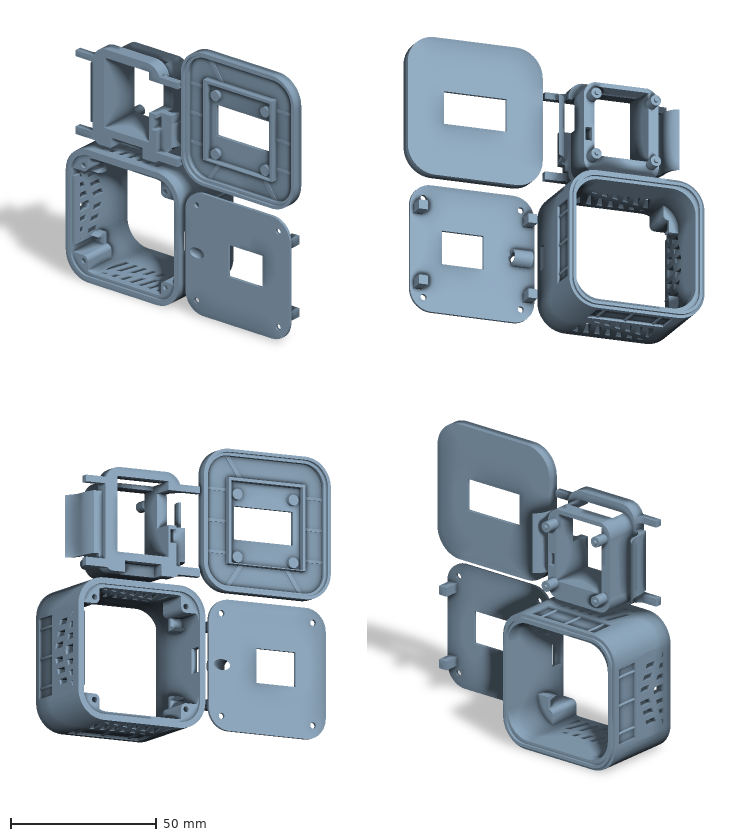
import cadquery as cq
import math


case_size = 50.0
case_radius = 10.0
lip_step = 1.1
bed_y = 1.0
screw_spacing = 36.0
module_peg_spacing = 22.0

housing_depth = 30.0
wall = 3.25
cover_recess_inset = wall - lip_step
inner_radius = case_radius - lip_step
post_depth_end = 14.0
post_reach = 8.9
post_overlap = 0.25
post_radius = 1.85
screw_pilot_diameter = 2.0
screw_pilot_depth = 8.0

clip_patch_y = 8.8
clip_back_y = 12.5
clip_ridge_y = 11.8
clip_nose_y = 9.4
clip_nose_z = (12.15, 12.94)
clip_outer_z = case_size / 2 - post_reach - post_overlap
clip_inner_z = 11.5
clip_inner_x = 18.2

grip_y = (18.8, 28.0)
grip_length = 28.1
grip_depth = 1.0
grip_rib_radius = 0.6
grip_rib_pitch = 10.4

vent_slope = math.tan(math.radians(20))
vent_half_pitch = 1.97
vent_middle_half = 1.55
vent_front_y = 3.8
vent_gap_y = (9.14, 12.0)
vent_back_y = 17.0
vent_half_length = 13.4

slot_lean = math.tan(math.radians(15))
slot_pitch = 4.0
slot_width = 2.0
slot_y = (3.7, 16.3)
slot_gap_y = (8.84, 11.7)
slots_per_row = 7
bottom_slot_starts = (-13.5, -16.1)
top_slot_starts = (-14.4, -15.1)

port_y = (3.05, 5.9)
port_pocket_y = 1.1
port_pocket_x = 24.0
port_height = 8.8

lid_x = 49.98
lid_z = 49.95
lid_depth = 4.0
lid_floor = 1.2
lid_back_y = bed_y + lid_depth
lid_floor_y = lid_back_y - lid_floor
sensor_frame_size = 30.3
sensor_frame_wall = 1.06
sensor_frame_bottom_wall = 0.3
sensor_frame_setback = 0.1
sensor_window = (23.2, 11.8)
sensor_window_z = -0.15
lid_peg_diameter = 3.82
lid_peg_length = 1.6
lid_peg_centre_z = -1.35
lid_rib_width = 1.06
lid_rib_height = 0.3
lid_rib_pitch = 11.0
diagonal_rib_width = 1.5
diagonal_rib_angle = 34.0
diagonal_rib_x = 11.8
diagonal_rib_z = 19.0

plate_size = 46.0
plate_thickness = 1.1
plate_z = -1.03
plate_screw_diameter = 2.2
plate_window = (15.4, 12.15)
plate_window_offset = (3.45, 0.92)
stud_size = 3.3
stud_spacing = (40.6, 27.3)
stud_end_y = 7.8
hood_offsets = (-21.0, -14.1)
hood_top_y = 6.4
hood_radius = 3.0
cable_bore_diameter = 3.81
cable_bore_offset = -17.85
cable_bore_tilt = 37.0

frame_x = 1.03
flange_half_width = 14.9
flange_z = (27.9, 64.5)
flange_back_y = 6.0
flange_top_radius = 5.8
flange_bottom_radius = 3.2
box_half_width = 13.85
box_z = (28.0, 61.3)
box_back_y = 18.0
box_corner_width = 3.95
box_corner_height = 6.0
opening_half_width = 10.0
opening_z = (34.75, 59.75)
top_slot_end_y = 12.0
notch_half_width = 7.15
notch_top_z = 31.9

tab_half_span = 22.5
tab_back_y = 3.5
tab_heights = ((28.95, 31.85), (58.25, 60.6))
tab_fillet = 2.0

wing_z = (34.0, 56.0)
wing_root_z = 31.85
wing_root_half_width = 17.95
left_foot_width = 1.1
right_foot_x = (13.0, 16.0)
side_gap_z = (46.0, 58.25)
side_gap_low_z = 42.8
right_stile_half_width = 13.1
side_wall_front_y = 9.0
side_hole_x = (11.9, 14.4)
side_hole_z = (39.9, 44.6)

frame_peg_diameter = 3.8
frame_peg_end_y = 22.6
frame_tip_diameter = 1.6
frame_tip_end_y = 23.6
frame_peg_z = 44.8


def block(x, y, z):
    """Box between the given (low, high) pairs."""
    return (
        cq.Workplane("XY")
        .box(x[1] - x[0], y[1] - y[0], z[1] - z[0], centered=False)
        .translate((x[0], y[0], z[0]))
    )


def rod(x, z, diameter, y_from, y_to):
    """Cylinder along Y."""
    centre = cq.Vector(x, y_from, z)
    return cq.Workplane(cq.Solid.makeCylinder(diameter / 2, y_to - y_from, centre, cq.Vector(0, 1, 0)))


def rounded_square(size, radius, y_from, y_to):
    """Square slab with rounded corners, its thickness along Y."""
    slab = block((-size / 2, size / 2), (y_from, y_to), (-size / 2, size / 2))
    return slab.edges("|Y").fillet(radius)


def inset_square(inset, y_from, y_to):
    """Slab that follows the case outline, moved inwards by the inset."""
    return rounded_square(case_size - 2 * inset, case_radius - inset, y_from, y_to)


def corners(x_spacing, z_spacing):
    """Four (x, z) places of a centred rectangle."""
    return [(sx * x_spacing / 2, sz * z_spacing / 2) for sx in (-1, 1) for sz in (-1, 1)]


def to_side(body, side_x, side_z):
    """Mirror a feature from the right upper corner to the given sides."""
    if side_x < 0:
        body = body.mirror("YZ")
    if side_z < 0:
        body = body.mirror("XY")
    return body


def corner_post(side_x, side_z):
    """Screw post in a housing corner, rounded at its free edge."""
    free = case_size / 2 - post_reach
    outer = case_size / 2 - cover_recess_inset / 2
    post = block((free, outer), (lip_step, post_depth_end), (free - post_overlap, outer))
    post = post.edges("|Y and <X and <Z").fillet(post_radius)
    return to_side(post, side_x, side_z)


def clip(side_x, side_z):
    """Hooked catch on a side wall that snaps over an end of the inner frame."""
    profile = [
        (post_depth_end, clip_inner_z),
        (clip_ridge_y, clip_inner_z),
        (clip_nose_y, clip_nose_z[0]),
        (clip_back_y, clip_nose_z[1]),
        (clip_back_y, clip_outer_z),
        (post_depth_end, clip_outer_z),
    ]
    reach = case_size / 2 - clip_inner_x
    catch = cq.Workplane("YZ", origin=(clip_inner_x, 0, 0)).polyline(profile).close().extrude(reach)
    patch_x = (case_size / 2 - cover_recess_inset, case_size / 2)
    catch = catch.union(block(patch_x, (clip_patch_y, post_depth_end), (clip_inner_z, clip_outer_z)))
    return to_side(catch, side_x, side_z)


def grip_panel():
    """Tool for the ribbed grip recess in the left side wall."""
    half = grip_length / 2
    panel = block((-case_size / 2, -case_size / 2 + grip_depth), grip_y, (-half, half))
    for place in (-1, 0, 1):
        rib = rod(-case_size / 2 + grip_depth, place * grip_rib_pitch, 2 * grip_rib_radius, *grip_y)
        panel = panel.cut(rib)
    return panel


def vent_band(y_front, y_back):
    """V-shaped band through the left wall, its tip pointing to the back."""
    h = vent_half_length
    drop = vent_slope * h
    outline = [
        (y_back, 0),
        (y_back - drop, h),
        (y_front - drop, h),
        (y_front, 0),
        (y_front - drop, -h),
        (y_back - drop, -h),
    ]
    return cq.Workplane("YZ", origin=(-case_size / 2, 0, 0)).polyline(outline).close().extrude(wall)


def vents():
    """Tool for both staggered rows of ventilation slots in the left wall."""
    through_x = (-case_size / 2, -case_size / 2 + wall)
    edges = [vent_middle_half + i * vent_half_pitch for i in range(7)]
    back_rows = [(edges[i], edges[i + 1]) for i in (0, 2, 4)]
    front_rows = [(edges[i], edges[i + 1]) for i in (1, 3, 5)]
    back_rows += [(-high, -low) for low, high in back_rows]
    front_rows += [(-high, -low) for low, high in front_rows]
    front_rows.append((-vent_middle_half, vent_middle_half))
    back_band = vent_band(vent_gap_y[1], vent_back_y)
    front_band = vent_band(-vent_front_y, vent_gap_y[0])
    tool = cq.Workplane("XY")
    for row in back_rows:
        tool = tool.add(back_band.intersect(block(through_x, (0, housing_depth), row)))
    for row in front_rows:
        tool = tool.add(front_band.intersect(block(through_x, (vent_front_y, housing_depth), row)))
    return tool


def leaning_slots(start, band):
    """Row of leaning slots through the bottom wall, trimmed to a band outline."""
    floor = cq.Workplane("XY", origin=(0, 0, -case_size / 2))
    trim = floor.polyline(band).close().extrude(wall)
    slots = cq.Workplane("XY")
    y_low, y_high = slot_y
    for i in range(slots_per_row):
        x_low = start + i * slot_pitch + slot_lean * y_low
        x_high = start + i * slot_pitch + slot_lean * y_high
        outline = [(x_low, y_low), (x_low + slot_width, y_low), (x_high + slot_width, y_high), (x_high, y_high)]
        slots = slots.add(floor.polyline(outline).close().extrude(wall).intersect(trim))
    return slots


def slanted_vents(front_start, back_start):
    """Tool for the slots on both sides of a slanted bar in the bottom wall."""
    h = vent_half_length
    rise = vent_slope * h
    y_low, y_high = slot_y
    front_edge, back_edge = slot_gap_y
    low_cross = (y_low - front_edge) / vent_slope
    high_cross = (y_high - back_edge) / vent_slope
    front_band = [(low_cross, y_low), (h, y_low), (h, front_edge + rise)]
    back_band = [(-h, back_edge - rise), (high_cross, y_high), (-h, y_high)]
    tool = leaning_slots(front_start, front_band)
    for slot in leaning_slots(back_start, back_band).vals():
        tool = tool.add(slot)
    return tool


def cut_all(body, tools):
    """Cut every solid of a tool from the body."""
    for solid in tools.solids().vals():
        body = body.cut(cq.Workplane(solid))
    return body


def make_housing():
    back_y = housing_depth + lip_step
    body = inset_square(0, 0, housing_depth).union(inset_square(lip_step, housing_depth, back_y))

    inner_half = case_size / 2 - wall
    thin_wall_x = case_size / 2 - cover_recess_inset
    cavity = block((-inner_half, thin_wall_x), (0, back_y), (-inner_half, inner_half))
    body = body.cut(cavity.edges("|Y").fillet(inner_radius))
    body = body.cut(inset_square(cover_recess_inset, 0, lip_step))
    body = body.cut(inset_square(cover_recess_inset, housing_depth, back_y))

    free = case_size / 2 - post_reach
    for z in ((clip_nose_z[1], free), (-free, -clip_nose_z[1])):
        body = body.cut(block((-thin_wall_x, 0), (0, clip_back_y), z))

    outline = inset_square(0, 0, housing_depth)
    for sx, sz in corners(2, 2):
        body = body.union(corner_post(sx, sz).intersect(outline)).union(clip(sx, sz))
    for x, z in corners(screw_spacing, screw_spacing):
        body = body.cut(rod(x, z, screw_pilot_diameter, lip_step, lip_step + screw_pilot_depth))

    for angle in (0, 90, 180, 270):
        body = body.cut(grip_panel().rotate((0, 0, 0), (0, 1, 0), angle))
    body = cut_all(body, vents())
    body = cut_all(body, slanted_vents(*bottom_slot_starts))
    to_top_wall = (0, 0, case_size - wall)
    body = cut_all(body, slanted_vents(*top_slot_starts).translate(to_top_wall))

    port_z = (-port_height / 2, port_height / 2)
    body = body.cut(block((clip_inner_x, port_pocket_x), (port_pocket_y, port_y[1]), port_z))
    return body.cut(block((clip_inner_x, case_size / 2), port_y, port_z))


def make_lid():
    body = inset_square(0, bed_y, lid_back_y)
    body = body.cut(inset_square(lip_step, bed_y, bed_y + lip_step))
    inside = inset_square(2 * lip_step, bed_y, lid_floor_y)
    body = body.cut(inside)
    inner_half = case_size / 2 - 2 * lip_step
    rib_y = (lid_floor_y - lid_rib_height, lid_floor_y)

    half_rib = lid_rib_width / 2
    for place in (-1, 0, 1):
        z = place * lid_rib_pitch
        body = body.union(block((-inner_half, inner_half), rib_y, (z - half_rib, z + half_rib)))

    half_diagonal = diagonal_rib_width / 2
    for sx, sz in ((-1, 1), (-1, -1), (1, -1)):
        rib = block((-half_diagonal, half_diagonal), rib_y, (-inner_half, inner_half))
        rib = rib.rotate((0, 0, 0), (0, 1, 0), sx * sz * diagonal_rib_angle)
        rib = rib.translate((sx * diagonal_rib_x, 0, sz * diagonal_rib_z)).intersect(inside)
        body = body.union(rib)

    half_frame = sensor_frame_size / 2
    frame_y = (bed_y + sensor_frame_setback, lid_floor_y)
    body = body.union(block((-half_frame, half_frame), frame_y, (-half_frame, half_frame)))
    half_pocket = half_frame - sensor_frame_wall
    pocket_z = (-half_frame + sensor_frame_bottom_wall, half_pocket)
    body = body.cut(block((-half_pocket, half_pocket), frame_y, pocket_z))
    for x, z in corners(module_peg_spacing, module_peg_spacing):
        peg = rod(x, z + lid_peg_centre_z, lid_peg_diameter, lid_floor_y - lid_peg_length, lid_floor_y)
        body = body.union(peg)
    w, h = sensor_window
    z = sensor_window_z
    body = body.cut(block((-w / 2, w / 2), (bed_y, lid_back_y), (z - h / 2, z + h / 2)))
    return body.translate((lid_x, 0, lid_z))


def make_cover_plate():
    back_y = bed_y + plate_thickness
    body = rounded_square(plate_size, case_radius - cover_recess_inset, bed_y, back_y)
    for x, z in corners(screw_spacing, screw_spacing):
        body = body.cut(rod(x, z, plate_screw_diameter, bed_y, back_y))
    x, z = plate_window_offset
    w, h = plate_window
    body = body.cut(block((x - w / 2, x + w / 2), (bed_y, back_y), (z - h / 2, z + h / 2)))

    half = stud_size / 2
    for x, z in corners(*stud_spacing):
        stud = block((x - half, x + half), (back_y, stud_end_y), (z - half, z + half))
        body = body.union(stud)

    hood = cq.Solid.makeCylinder(
        hood_radius,
        hood_offsets[1] - hood_offsets[0],
        cq.Vector(hood_offsets[0], hood_top_y - hood_radius, 0),
        cq.Vector(1, 0, 0),
    )
    hood_space = block(hood_offsets, (bed_y, hood_top_y), (-hood_radius, hood_radius))
    body = body.union(cq.Workplane(hood).intersect(hood_space))
    tilt = math.radians(cable_bore_tilt)
    reach = 3 * hood_radius
    direction = cq.Vector(math.cos(tilt), math.sin(tilt), 0)
    start = cq.Vector(cable_bore_offset, bed_y, 0) - direction * reach
    bore = cq.Solid.makeCylinder(cable_bore_diameter / 2, 2 * reach, start, direction)
    body = body.cut(cq.Workplane(bore))
    return body.translate((lid_x, 0, plate_z))


def frame_box():
    """Tube behind the flange with rounded corners, taller than they are wide."""
    low, high = box_z
    half_height = (high - low) / 2
    flat_x = box_half_width - box_corner_width
    flat_z = half_height - box_corner_height
    bulge_x = flat_x + box_corner_width * math.sqrt(0.5)
    bulge_z = flat_z + box_corner_height * math.sqrt(0.5)
    outline = (
        cq.Workplane("XZ", origin=(0, 0, low + half_height))
        .moveTo(box_half_width, flat_z)
        .threePointArc((bulge_x, bulge_z), (flat_x, half_height))
        .lineTo(-flat_x, half_height)
        .threePointArc((-bulge_x, bulge_z), (-box_half_width, flat_z))
        .lineTo(-box_half_width, -flat_z)
        .threePointArc((-bulge_x, -bulge_z), (-flat_x, -half_height))
        .lineTo(flat_x, -half_height)
        .threePointArc((bulge_x, -bulge_z), (box_half_width, -flat_z))
        .close()
    )
    return outline.extrude(flange_back_y - box_back_y).translate((0, flange_back_y, 0))


def left_wing():
    """Thin S-shaped leaf spring on the left of the frame."""
    root_x = -flange_half_width
    outline = (
        cq.Workplane("XY")
        .moveTo(root_x, tab_back_y)
        .lineTo(-wing_root_half_width, tab_back_y)
        .threePointArc((-18.95, 6.5), (-19.35, 9.8))
        .tangentArcPoint((-22.3, 16.1), relative=False)
        .threePointArc((-19.5, 13.7), (-18.4, 9.8))
        .threePointArc((-17.6, 7.3), (-16.1, flange_back_y))
        .lineTo(root_x, flange_back_y)
        .close()
    )
    return outline.extrude(wing_z[1] - wing_z[0]).translate((0, 0, wing_z[0]))


def tab_web(z):
    """Concave web between a left tab and the flange side."""
    x = -flange_half_width
    y = tab_back_y
    r = tab_fillet
    bend = r * (1 - math.sqrt(0.5))
    web = (
        cq.Workplane("XY")
        .moveTo(x, y)
        .lineTo(x - r, y)
        .threePointArc((x - bend, y + bend), (x, y + r))
        .close()
    )
    return web.extrude(z[1] - z[0]).translate((0, 0, z[0]))


def make_frame():
    w = flange_half_width
    flange = block((-w, w), (bed_y, flange_back_y), flange_z)
    flange = flange.edges("|Y and >Z").fillet(flange_top_radius)
    flange = flange.edges("|Y and <Z").fillet(flange_bottom_radius)
    body = flange.union(frame_box())
    opening_x = (-opening_half_width, opening_half_width)
    body = body.cut(block(opening_x, (bed_y, box_back_y), opening_z))
    body = body.cut(block(opening_x, (bed_y, top_slot_end_y), (opening_z[0], box_z[1])))
    notch_z = (flange_z[0], notch_top_z)
    body = body.cut(block((-notch_half_width, notch_half_width), (bed_y, flange_back_y), notch_z))

    stile_z = (tab_heights[0][1], side_gap_z[0])
    body = body.cut(block((right_stile_half_width, w), (bed_y, tab_back_y), stile_z))

    for z in tab_heights:
        left_tab = block((-tab_half_span, -opening_half_width), (bed_y, tab_back_y), z)
        left_tab = left_tab.union(tab_web(z))
        body = body.union(left_tab).union(left_tab.mirror("YZ"))

    root_y = (tab_back_y, flange_back_y)
    foot_z = (wing_root_z, wing_z[0])
    body = body.union(left_wing()).union(left_wing().mirror("YZ"))
    body = body.union(block((-w - left_foot_width, -w), root_y, foot_z))
    body = body.union(block(right_foot_x, root_y, foot_z))

    gap_y = (bed_y, side_wall_front_y)
    body = body.cut(block((opening_half_width, tab_half_span), gap_y, side_gap_z))
    low_gap_z = (side_gap_low_z, side_gap_z[0])
    body = body.cut(block((wing_root_half_width, tab_half_span), gap_y, low_gap_z))

    body = body.translate((frame_x, 0, 0))
    body = body.cut(block(side_hole_x, (bed_y, box_back_y), side_hole_z))

    for x, z in corners(module_peg_spacing, module_peg_spacing):
        peg = rod(x, z, frame_peg_diameter, box_back_y, frame_peg_end_y)
        tip = rod(x, z, frame_tip_diameter, frame_peg_end_y, frame_tip_end_y)
        body = body.union(peg.union(tip).translate((frame_x, 0, frame_peg_z)))
    return body


housing = make_housing()
lid = make_lid()
cover_plate = make_cover_plate()
frame = make_frame()

result = cq.Compound.makeCompound([housing.val(), lid.val(), cover_plate.val(), frame.val()])